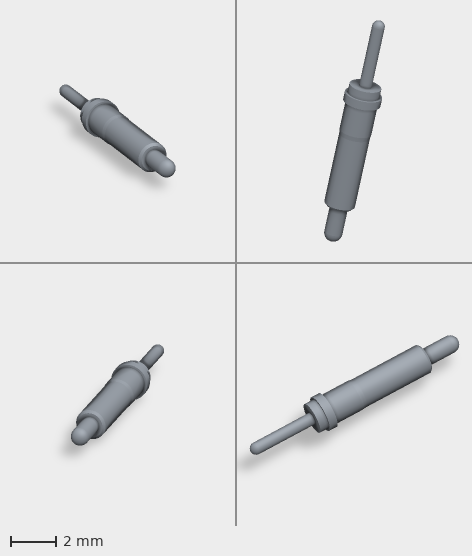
import cadquery as cq
import math

total_length = 10.69

pin_diameter = 0.57
collar_diameter = 1.43
flange_diameter = 1.68
barrel_diameter = 1.38
plunger_diameter = 0.81

collar_start = 3.16
flange_start = 3.58
flange_end = 3.98
taper_start = 5.37
taper_end = 5.58
barrel_end = 9.0
barrel_chamfer = 0.11

pin_radius = pin_diameter / 2
collar_radius = collar_diameter / 2
flange_radius = flange_diameter / 2
barrel_radius = barrel_diameter / 2
plunger_radius = plunger_diameter / 2

pin_arc_offset = pin_radius * math.sqrt(0.5)
plunger_arc_offset = plunger_radius * math.sqrt(0.5)
plunger_arc_centre = total_length - plunger_radius

profile = (
    cq.Workplane("XY")
    .moveTo(0, 0)
    .threePointArc((pin_radius - pin_arc_offset, pin_arc_offset), (pin_radius, pin_radius))
    .lineTo(collar_start, pin_radius)
    .lineTo(collar_start, collar_radius)
    .lineTo(flange_start, collar_radius)
    .lineTo(flange_start, flange_radius)
    .lineTo(flange_end, flange_radius)
    .lineTo(flange_end, collar_radius)
    .lineTo(taper_start, collar_radius)
    .lineTo(taper_end, barrel_radius)
    .lineTo(barrel_end - barrel_chamfer, barrel_radius)
    .lineTo(barrel_end, barrel_radius - barrel_chamfer)
    .lineTo(barrel_end, plunger_radius)
    .lineTo(plunger_arc_centre, plunger_radius)
    .threePointArc((plunger_arc_centre + plunger_arc_offset, plunger_arc_offset), (total_length, 0))
    .close()
)

result = profile.revolve(360, (0, 0, 0), (1, 0, 0)).translate((-total_length / 2, 0, 0))